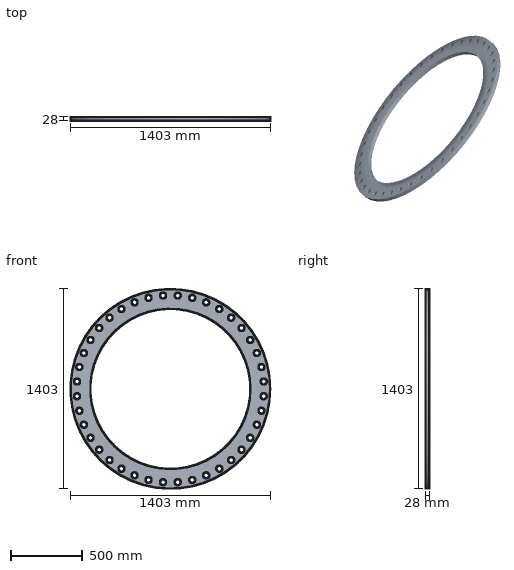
import cadquery as cq

outer_diameter = 1403.0
bore_diameter = 1123.0
thickness = 28.0

bolt_circle_diameter = 1315.0
bolt_hole_diameter = 40.0
bolt_hole_count = 40
bolt_pitch_angle = 360.0 / bolt_hole_count


def make_ring():
    """Plain ring, centred on the XZ plane."""
    return (
        cq.Workplane("XZ", origin=(0, -thickness / 2, 0))
        .circle(outer_diameter / 2)
        .circle(bore_diameter / 2)
        .extrude(-thickness)
    )


def make_bolt_holes():
    """Cylinders that cut the bolt holes through the full thickness."""
    return (
        cq.Workplane("XZ", origin=(0, -thickness / 2, 0))
        .polarArray(bolt_circle_diameter / 2, bolt_pitch_angle / 2, 360, bolt_hole_count)
        .circle(bolt_hole_diameter / 2)
        .extrude(-thickness)
    )


result = make_ring().cut(make_bolt_holes())